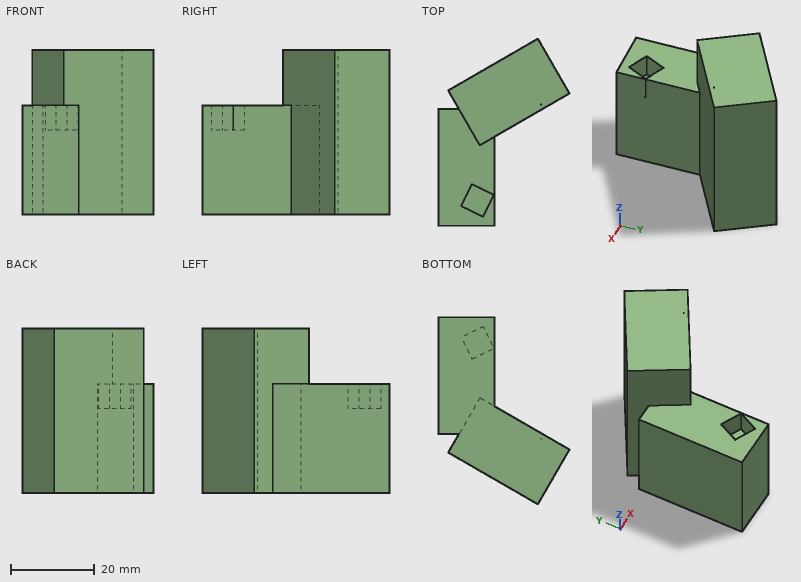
import cadquery as cq
import math

low_width = 13.45
low_length = 28.05
low_height = 26.2

tall_length = 24.85
tall_width = 15.19
tall_height = 39.49
tall_angle = 30.0

overall_x = 31.43
overall_y = 44.89

pocket_side = 5.85
pocket_angle = -26.3
pocket_x = 9.35
pocket_y = 6.1
pocket_depth = pocket_side

dimple_diameter = 0.1
dimple_depth = dimple_diameter
dimple_x = 24.55
dimple_y = 29.1


def turned_block(length, width, height, angle, center_x, center_y, base_z):
    """Box standing on base_z, turned about its own vertical axis."""
    block = cq.Workplane("XY").box(length, width, height, centered=(True, True, False))
    block = block.rotate((0, 0, 0), (0, 0, 1), angle)
    return block.translate((center_x, center_y, base_z))


cos_tall = math.cos(math.radians(tall_angle))
sin_tall = math.sin(math.radians(tall_angle))
tall_span_x = tall_length * cos_tall + tall_width * sin_tall
tall_span_y = tall_length * sin_tall + tall_width * cos_tall
tall_x = overall_x - tall_span_x / 2
tall_y = overall_y - tall_span_y / 2

low_block = cq.Workplane("XY").box(low_width, low_length, low_height, centered=False)
tall_block = turned_block(tall_length, tall_width, tall_height, tall_angle, tall_x, tall_y, 0)
pocket = turned_block(
    pocket_side,
    pocket_side,
    pocket_depth,
    pocket_angle,
    pocket_x,
    pocket_y,
    low_height - pocket_depth,
)
dimple = (
    cq.Workplane("XY", origin=(dimple_x, dimple_y, tall_height))
    .circle(dimple_diameter / 2)
    .extrude(-dimple_depth)
)

result = low_block.union(tall_block).cut(pocket).cut(dimple)